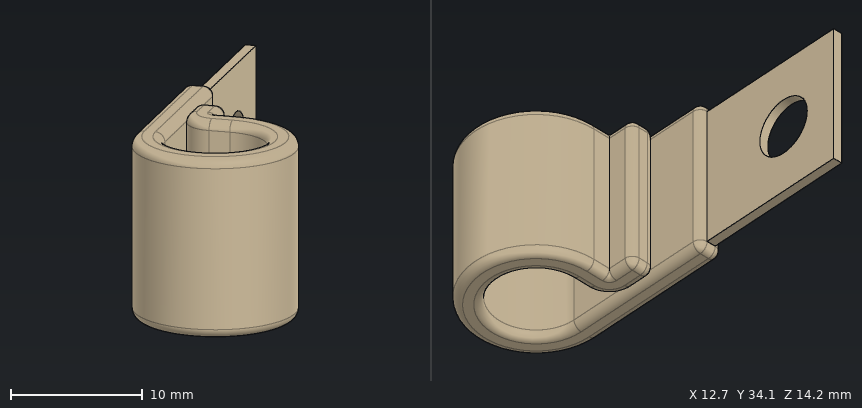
import cadquery as cq

total_length = 34.1
strap_width = 12.7
cushion_width = 14.22
strap_thickness = 0.85
coating = 0.75
loop_inner_radius = 4.0
sleeve_length = 13.85
lip_length = 2.5
hole_diameter = 5.2
hole_from_end = 5.52

wall = strap_thickness + 2 * coating
loop_outer_radius = loop_inner_radius + wall
loop_mid_radius = loop_inner_radius + wall / 2
strap_end = total_length - loop_outer_radius
bridge_length = loop_inner_radius - wall


def band_section():
    """Cross-section of the cushioned band, rounded on its long edges."""
    return cq.Sketch().rect(wall, cushion_width).vertices().fillet(coating)


def bend(center_x, center_y, mid_radius, angle):
    """Band curved counter-clockwise about a vertical axis, starting on its -X side."""
    return (
        cq.Workplane("XZ")
        .center(-mid_radius, 0)
        .placeSketch(band_section())
        .revolve(angle, (mid_radius, 0), (mid_radius, 1))
        .translate((center_x, center_y, 0))
    )


def straight_end(x, start_y, length):
    """Straight band along +Y with a rounded free end."""
    return (
        cq.Workplane("XY")
        .box(wall, length, cushion_width)
        .edges("|Y or >Y")
        .fillet(coating)
        .translate((x, start_y + length / 2, 0))
    )


loop = bend(0, 0, loop_mid_radius, 270)
sleeve = straight_end(-loop_mid_radius, 0, sleeve_length)

bridge = (
    cq.Workplane("YZ", origin=(-bridge_length, loop_mid_radius, 0))
    .placeSketch(band_section())
    .extrude(bridge_length)
)
lip_bend = bend(-bridge_length, loop_outer_radius, wall / 2, 90)
lip = straight_end(-bridge_length - wall / 2, loop_outer_radius, lip_length)

strap = (
    cq.Workplane("XY")
    .box(strap_thickness, strap_end, strap_width)
    .translate((-loop_mid_radius, strap_end / 2, 0))
)
mounting_hole = (
    cq.Workplane("YZ", origin=(-loop_mid_radius, 0, 0))
    .center(strap_end - hole_from_end, 0)
    .circle(hole_diameter / 2)
    .extrude(wall / 2, both=True)
)

result = loop.union(sleeve).union(bridge).union(lip_bend).union(lip).union(strap).cut(mounting_hole)